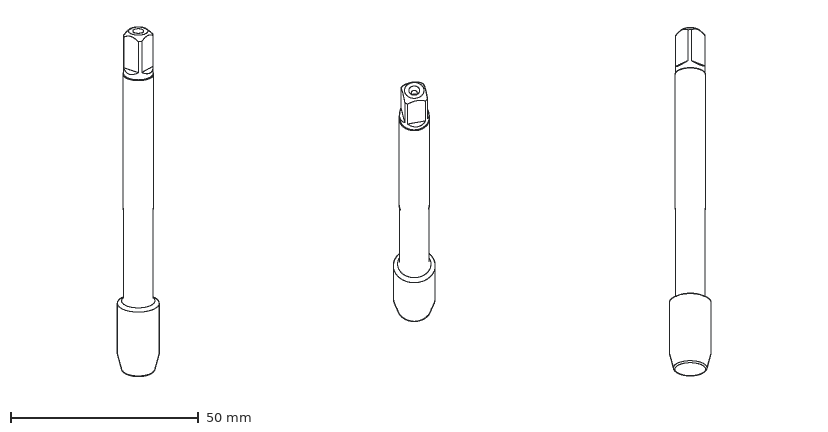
import cadquery as cq
import math

total_length = 100.0

head_diameter = 11.2
tip_diameter = 9.0
tip_cone_height = 0.2
tip_chamfer = 0.4
lead_length = 5.1
head_shoulder_z = 19.9
head_top_z = 20.6
head_top_diameter = 8.9

neck_diameter = 7.9
shank_diameter = 8.2
neck_fillet_height = 1.0
shank_start_z = 47.4
shank_start_taper = 0.6
shank_end_z = 87.5
shank_end_taper = 0.2

square_width = 6.2
square_bottom_z = 89.6
drive_top_diameter = 5.2
drive_chamfer_height = 1.3

countersink_diameter = 2.9
centre_hole_diameter = 1.6
drill_tip_angle = 120.0
countersink_angle = 60.0


def revolve_profile(points):
    """Revolve a closed (radius, z) outline, which starts and ends on the axis, about Z."""
    return cq.Workplane("XZ").polyline(points).close().revolve(360, (0, 0, 0), (0, 1, 0))


def make_head():
    """Cylindrical cutting head with a shallow conical tip, a tapered lead and a chamfered rear shoulder."""
    return revolve_profile([
        (0, 0),
        (tip_diameter / 2 - tip_chamfer, tip_cone_height),
        (tip_diameter / 2, tip_cone_height + tip_chamfer),
        (head_diameter / 2, lead_length),
        (head_diameter / 2, head_shoulder_z),
        (head_top_diameter / 2, head_top_z),
        (0, head_top_z),
    ])


def make_shank_blank():
    """Round shank: filleted foot, neck, full-diameter grip and drive end."""
    neck_radius = neck_diameter / 2
    shank_radius = shank_diameter / 2
    foot_radius = head_top_diameter / 2
    neck_bottom_z = head_top_z + neck_fillet_height
    return (
        cq.Workplane("XZ")
        .moveTo(0, total_length)
        .lineTo(drive_top_diameter / 2, total_length)
        .lineTo(neck_radius, total_length - drive_chamfer_height)
        .lineTo(neck_radius, shank_end_z)
        .lineTo(shank_radius, shank_end_z - shank_end_taper)
        .lineTo(shank_radius, shank_start_z + shank_start_taper)
        .lineTo(neck_radius, shank_start_z)
        .lineTo(neck_radius, neck_bottom_z)
        .tangentArcPoint((foot_radius, head_top_z), relative=False)
        .lineTo(0, head_top_z)
        .close()
        .revolve(360, (0, 0, 0), (0, 1, 0))
    )


def make_flat_cutter():
    """Material beyond one drive flat, with a 45 degree runout below it."""
    flat_x = square_width / 2
    outer_x = shank_diameter
    runout = outer_x - flat_x
    return (
        cq.Workplane("XZ")
        .moveTo(flat_x, square_bottom_z)
        .lineTo(outer_x, square_bottom_z - runout)
        .lineTo(outer_x, total_length)
        .lineTo(flat_x, total_length)
        .close()
        .extrude(shank_diameter / 2, both=True)
    )


def make_centre_hole():
    """Countersunk pilot hole with a conical bottom."""
    countersink_radius = countersink_diameter / 2
    hole_radius = centre_hole_diameter / 2
    countersink_depth = (countersink_radius - hole_radius) / math.tan(math.radians(countersink_angle / 2))
    hole_bottom_z = total_length - countersink_depth - centre_hole_diameter
    drill_tip_depth = hole_radius / math.tan(math.radians(drill_tip_angle / 2))
    return revolve_profile([
        (0, hole_bottom_z - drill_tip_depth),
        (hole_radius, hole_bottom_z),
        (hole_radius, total_length - countersink_depth),
        (countersink_radius, total_length),
        (0, total_length),
    ])


def make_shank():
    """Shank with four drive flats and a centre hole."""
    body = make_shank_blank()
    flat_cutter = make_flat_cutter()
    for angle in (0, 90, 180, 270):
        body = body.cut(flat_cutter.rotate((0, 0, 0), (0, 0, 1), angle))
    return body.cut(make_centre_hole())


head = make_head()
shank = make_shank()

result = cq.Compound.makeCompound([head.val(), shank.val()])